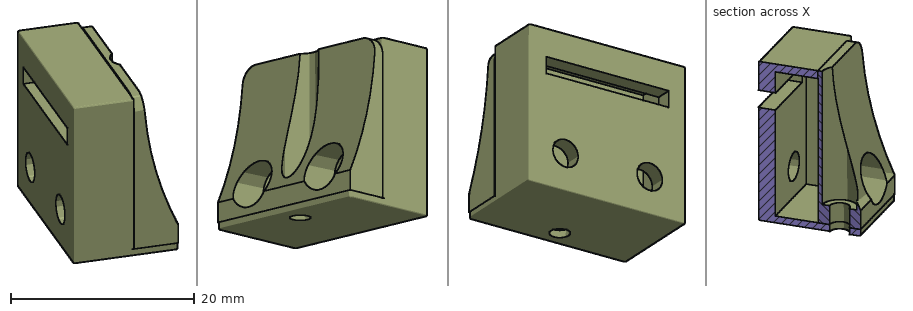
import cadquery as cq

width = 20.45
depth = 12.0
height = 19.0

block_depth = 7.0
shelf_height = 0.85
edge_radius = 0.25
front_thickness = 2.0
shell_thickness = 1.0

wall_top_depth = 1.1
wall_back_height = 3.1
back_curve_radius = 40.0
wall_corner_radius = 2.0

slot_width = 16.0
slot_height = 2.0
slot_top_margin = 3.5

screw_spacing = 11.0
screw_height = 4.5
screw_diameter = 3.3
screw_head_diameter = 5.5

vertical_hole_y = 9.5
vertical_hole_diameter = 2.3
vertical_bore_diameter = 4.0
vertical_bore_floor = wall_back_height


def cylinder_along_y(diameter, x, z, start, end):
    return cq.Workplane("XZ", origin=(x, start, z)).circle(diameter / 2).extrude(start - end)


def cylinder_along_z(diameter, y, start, end):
    return cq.Workplane("XY", origin=(0, y, start)).circle(diameter / 2).extrude(end - start)


def cut_screw_holes(body):
    for x in (-screw_spacing / 2, screw_spacing / 2):
        body = body.cut(cylinder_along_y(screw_diameter, x, screw_height, 0, depth))
        body = body.cut(cylinder_along_y(screw_head_diameter, x, screw_height, block_depth, depth))
    return body


def cut_vertical_hole(body):
    body = body.cut(cylinder_along_z(vertical_hole_diameter, vertical_hole_y, 0, height))
    return body.cut(cylinder_along_z(vertical_bore_diameter, vertical_hole_y, vertical_bore_floor, height))


def make_base():
    """Hollow block on a shelf, with rounded outer edges, a front slot and the screw holes."""
    body = (
        cq.Workplane("YZ", origin=(-width / 2, 0, 0))
        .polyline([
            (0, 0),
            (depth, 0),
            (depth, shelf_height),
            (block_depth, shelf_height),
            (block_depth, height),
            (0, height),
        ])
        .close()
        .extrude(width)
    )
    body = body.edges("|Z or <Z or >Z").fillet(edge_radius)
    cavity = cq.Workplane("XY").box(
        width - 2 * shell_thickness,
        block_depth - front_thickness,
        height - shell_thickness - shelf_height,
        centered=(True, False, False),
    )
    body = body.cut(cavity.translate((0, front_thickness, shelf_height)))
    slot = cq.Workplane("XY").box(slot_width, front_thickness, slot_height, centered=(True, False, False))
    body = body.cut(slot.translate((0, 0, height - slot_top_margin - slot_height)))
    return cut_vertical_hole(cut_screw_holes(body))


def make_wall():
    """Wall with a concave back, rounded top corners and counterbored holes."""
    body = (
        cq.Workplane("YZ", origin=(-width / 2, 0, 0))
        .moveTo(block_depth, shelf_height)
        .lineTo(depth, shelf_height)
        .lineTo(depth, wall_back_height)
        .radiusArc((block_depth + wall_top_depth, height), back_curve_radius)
        .lineTo(block_depth, height)
        .close()
        .extrude(width)
    )
    rounded_outline = (
        cq.Workplane("XY")
        .box(width, depth, height, centered=(True, False, False))
        .edges("|Y and >Z")
        .fillet(wall_corner_radius)
    )
    return cut_vertical_hole(cut_screw_holes(body.intersect(rounded_outline)))


base = make_base()
wall = make_wall()
result = cq.Compound.makeCompound([base.val(), wall.val()])